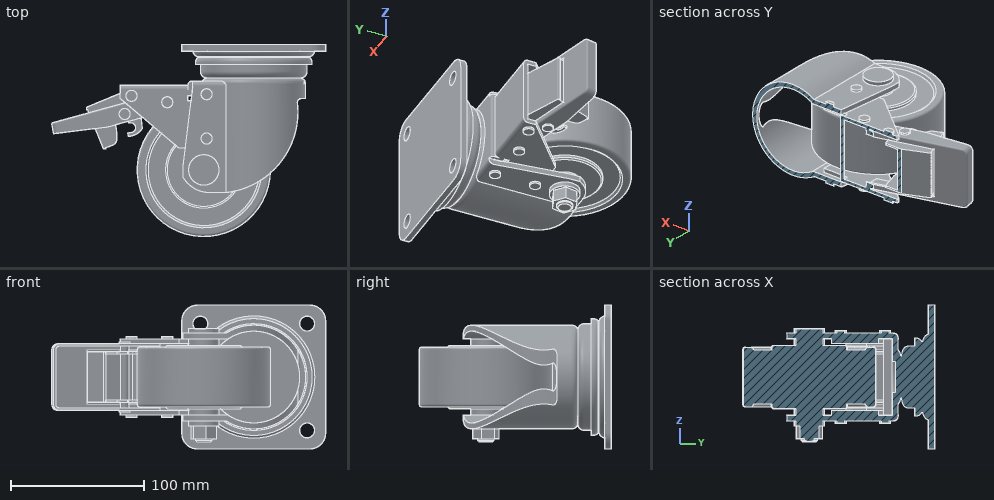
import cadquery as cq
import math


CUT_MARGIN = 2.0

PLATE_SIZE = 108.0
PLATE_THICKNESS = 5.1
PLATE_CORNER_RADIUS = 12.0
BOLT_SPACING = 80.0
BOLT_HOLE_DIAMETER = 11.0

RACE_RADIUS = 45.8
RACE_GROOVE_RADIUS = 42.2
RACE_GROOVE_Y = -9.2
RACE_GROOVE_WIDTH = 0.6
RACE_BULGE = 0.95
SEAL_BULGE = 0.4
SEAL_RADIUS = 43.8
SEAL_STEP_Y = -13.3
SEAL_BOTTOM_Y = -15.2
CUP_RADIUS = 40.0
CUP_CURVE_Y = -20.0
CUP_BULGE = (0.9, 0.7)
NECK_RADIUS = 36.6
NECK_Y = -25.0

SHEET = 4.5
FORK_RADIUS = 38.9
LEG_OUTER_Z = 33.0
LEG_INNER_Z = LEG_OUTER_Z - SHEET
LEG_TOP_Y = -27.4
LEG_TOP_X = -45.7
LEG_BOTTOM_X = -53.0
LEG_BOTTOM_Y = -91.0
LEG_TOP_ROUND = 3.8
FORK_BOTTOM_Y = -111.0
LEG_HEEL_RADIUS = 23.0
HEEL_X = -33.0
SWEEP_START_X = -20.8
SWEEP_MIDDLE = (14.5, -94.5)
FORK_BOX_REACH = 70.0
FORK_BACK_X = 32.8
FORK_STEP_Y = -40.6
FORK_STEP_ROUND = 3.0
FORK_LIP_X = -49.3
FORK_LIP_BOTTOM_Y = -38.6
FORK_LIP_ROUND = 3.0

AXLE_X = -37.4
AXLE_Y = -94.0
WHEEL_RADIUS = 50.0
TREAD_HALF_WIDTH = 22.5
TREAD_ROUND = 2.0
RIM_OUTER_RADIUS = 43.4
RIM_INNER_RADIUS = 41.7
WEB_HALF_WIDTH = 20.4
HUB_RADIUS = 28.6
HUB_HALF_WIDTH = 23.8
HUB_CHAMFER = 1.2
AXLE_RADIUS = 11.4
AXLE_HEAD_Z = 36.3
WASHER_Z = -36.7
NUT_CORNER_RADIUS = 10.1
NUT_TURN = 40.0
NUT_END_Z = -46.4
STUD_RADIUS = 6.2
STUD_END_Z = -48.6
STUD_CHAMFER = 1.2

BRACKET_SHEET = 3.5
BRACKET_OUTER_Z = LEG_INNER_Z
BRACKET_INNER_Z = BRACKET_OUTER_Z - BRACKET_SHEET
BRACKET_TOP_Y = -30.4
BRACKET_FRONT_X = -100.1
BRACKET_FRONT_BOTTOM_Y = -40.5
BRACKET_BACK_X = -27.0
BRACKET_NOTCH_Y = -42.1
BRACKET_FOOT_X = -56.1
BRACKET_FOOT_Y = -77.6
BRACKET_BEND_RADIUS = 3.5

RIVET_RADIUS = 4.15
RIVET_HEIGHT = 1.7
LEG_RIVETS = [(-35.3, -37.3), (-35.3, -70.5)]
BRACKET_RIVETS = [(-91.6, -38.5), (-64.8, -43.3)]

PEDAL_SHEET = 1.9
PEDAL_HALF_WIDTH = BRACKET_INNER_Z
PEDAL_TIP = (-151.6, -58.8)
PEDAL_TIP_BOTTOM = (-150.1, -67.0)
PEDAL_KNEE = (-109.6, -61.9)
PEDAL_END_X = -70.2
PEDAL_END_TOP_Y = -36.5
PEDAL_END_BOTTOM_Y = -51.2
PEDAL_CORNER_RADIUS = 4.5
PEDAL_EDGE_ROUND = 1.5
PEDAL_WINDOW_X = -124.9
PEDAL_WINDOW_HALF_WIDTH = 20.2
PEDAL_PIN = (-96.7, -52.1)
PEDAL_PIN_RADIUS = 3.2
PEDAL_PIN_HEAD_HEIGHT = 1.3

LEVER_SHEET = 1.8
LEVER_HALF_WIDTH = 19.0
LEVER_TOP = (-125.4, -47.0)
LEVER_BOTTOM = (-112.7, -78.3)
LEVER_BACK = (-90.7, -32.7)
LEVER_TOP_ROUND = 1.5
LEVER_TOE_START = (-106.5, -75.8)
LEVER_TOE_MIDDLE = (-103.6, -74.0)
LEVER_TOE_END = (-102.5, -71.0)
LEVER_NAPE_MIDDLE = (-102.6, -65.5)
LEVER_NAPE_X = -103.4
LEVER_NAPE_Y = -60.4
LEVER_BRIDGE_Y = -57.0

HOOK_MOUTH_X = -94.0
HOOK_MOUTH_TOP_Y = -58.8
HOOK_THROAT_X = -91.0
HOOK_THROAT_TOP_Y = -58.9
HOOK_THROAT_MIDDLE = (-88.6, -62.3)
HOOK_THROAT_BOTTOM_Y = -65.7
HOOK_TIP_INNER = (-94.5, -66.3)
HOOK_TIP_OUTER = (-94.0, -69.0)
HOOK_BACK_MIDDLE = (-88.2, -67.4)
HOOK_BACK_END = (-83.4, -63.0)
HOOK_SHOULDER = (-84.3, -54.5)


def slab(profile, z_from, z_to):
    """Extrude a closed XY profile between two Z levels."""
    return profile.extrude(z_to - z_from).translate((0, 0, z_from))


def disc(x, y, radius, z_from, z_to):
    return slab(cq.Workplane("XY").center(x, y).circle(radius), z_from, z_to)


def mirrored(solid):
    """The solid together with its mirror image below Z = 0."""
    return solid.union(solid.mirror("XY"))


def make_plate():
    plate = cq.Workplane("XZ").rect(PLATE_SIZE, PLATE_SIZE).extrude(PLATE_THICKNESS)
    plate = plate.edges("|Y").fillet(PLATE_CORNER_RADIUS)
    holes = (
        cq.Workplane("XZ")
        .rect(BOLT_SPACING, BOLT_SPACING, forConstruction=True)
        .vertices().circle(BOLT_HOLE_DIAMETER / 2).extrude(PLATE_THICKNESS)
    )
    return plate.cut(holes)


def make_swivel():
    seal_top_y = RACE_GROOVE_Y - RACE_GROOVE_WIDTH
    race_mid = (
        (RACE_RADIUS + RACE_GROOVE_RADIUS) / 2 + RACE_BULGE,
        (RACE_GROOVE_Y - PLATE_THICKNESS) / 2,
    )
    seal_mid = (SEAL_RADIUS - SEAL_BULGE, (seal_top_y + SEAL_STEP_Y) / 2)
    cup_mid = (CUP_RADIUS - CUP_BULGE[0], (CUP_CURVE_Y + NECK_Y) / 2 - CUP_BULGE[1])
    return (
        cq.Workplane("XY")
        .moveTo(0, -PLATE_THICKNESS)
        .lineTo(RACE_RADIUS, -PLATE_THICKNESS)
        .threePointArc(race_mid, (RACE_GROOVE_RADIUS, RACE_GROOVE_Y))
        .lineTo(RACE_GROOVE_RADIUS, seal_top_y)
        .threePointArc(seal_mid, (SEAL_RADIUS, SEAL_STEP_Y))
        .lineTo(SEAL_RADIUS, SEAL_BOTTOM_Y)
        .lineTo(CUP_RADIUS, SEAL_BOTTOM_Y)
        .lineTo(CUP_RADIUS, CUP_CURVE_Y)
        .threePointArc(cup_mid, (NECK_RADIUS, NECK_Y))
        .lineTo(0, NECK_Y)
        .close()
        .revolve(360, (0, 0, 0), (0, 1, 0))
    )


def fork_side_outline():
    """Side outline of the fork, cut straight through along Z."""
    heel_y = FORK_BOTTOM_Y + LEG_HEEL_RADIUS
    leg_end_y = heel_y - math.sqrt(LEG_HEEL_RADIUS**2 - (HEEL_X - LEG_BOTTOM_X) ** 2)
    heel_mid = LEG_HEEL_RADIUS * math.sqrt(0.5)
    outline = (
        cq.Workplane("XY")
        .moveTo(LEG_TOP_X, 0)
        .lineTo(LEG_TOP_X, LEG_TOP_Y - LEG_TOP_ROUND)
        .lineTo(LEG_BOTTOM_X, LEG_BOTTOM_Y)
        .lineTo(LEG_BOTTOM_X, leg_end_y)
        .threePointArc((HEEL_X - heel_mid, heel_y - heel_mid), (HEEL_X, FORK_BOTTOM_Y))
        .lineTo(SWEEP_START_X, FORK_BOTTOM_Y)
        .threePointArc(SWEEP_MIDDLE, (FORK_BACK_X, FORK_STEP_Y - FORK_STEP_ROUND))
        .radiusArc((FORK_BACK_X + FORK_STEP_ROUND, FORK_STEP_Y), FORK_STEP_ROUND)
        .lineTo(FORK_RADIUS + CUT_MARGIN, FORK_STEP_Y)
        .lineTo(FORK_RADIUS + CUT_MARGIN, 0)
        .close()
    )
    return slab(outline, -FORK_RADIUS, FORK_RADIUS)


def fork_plan(radius, half_width, top_y, leg_top_y):
    """A cylinder about Y, and a straight box that reaches from it toward -X."""
    bottom_y = FORK_BOTTOM_Y - CUT_MARGIN
    barrel = (
        cq.Workplane("XZ", origin=(0, top_y, 0)).circle(radius).extrude(top_y - bottom_y)
    )
    box = (
        cq.Workplane("XZ", origin=(-FORK_BOX_REACH / 2, leg_top_y, 0))
        .rect(FORK_BOX_REACH, 2 * half_width).extrude(leg_top_y - bottom_y)
    )
    return barrel, box


def make_fork():
    barrel, legs = fork_plan(FORK_RADIUS, LEG_OUTER_Z, NECK_Y, LEG_TOP_Y)
    barrel = barrel.faces(">Y").edges().fillet(SHEET)
    legs = legs.faces(">Y").edges("|X").fillet(LEG_TOP_ROUND)
    bore, gap = fork_plan(FORK_RADIUS - SHEET, LEG_INNER_Z, NECK_Y - SHEET, LEG_TOP_Y - SHEET)
    fork = barrel.union(legs).cut(bore).cut(gap).intersect(fork_side_outline())
    lip = (
        cq.Workplane("XY")
        .moveTo(LEG_TOP_X, LEG_TOP_Y)
        .lineTo(FORK_LIP_X + FORK_LIP_ROUND, LEG_TOP_Y)
        .radiusArc((FORK_LIP_X, LEG_TOP_Y - FORK_LIP_ROUND), -FORK_LIP_ROUND)
        .lineTo(FORK_LIP_X, FORK_LIP_BOTTOM_Y)
        .lineTo(LEG_TOP_X, FORK_LIP_BOTTOM_Y)
        .close()
    )
    return fork.union(slab(lip, -LEG_INNER_Z, LEG_INNER_Z))


def make_wheel():
    half = (
        cq.Workplane("XY")
        .moveTo(0, 0)
        .lineTo(WHEEL_RADIUS, 0)
        .lineTo(WHEEL_RADIUS, TREAD_HALF_WIDTH - TREAD_ROUND)
        .radiusArc((WHEEL_RADIUS - TREAD_ROUND, TREAD_HALF_WIDTH), -TREAD_ROUND)
        .lineTo(RIM_OUTER_RADIUS, TREAD_HALF_WIDTH)
        .lineTo(RIM_INNER_RADIUS, WEB_HALF_WIDTH)
        .lineTo(HUB_RADIUS, WEB_HALF_WIDTH)
        .lineTo(HUB_RADIUS, HUB_HALF_WIDTH - HUB_CHAMFER)
        .lineTo(HUB_RADIUS - HUB_CHAMFER, HUB_HALF_WIDTH)
        .lineTo(0, HUB_HALF_WIDTH)
        .close()
        .revolve(360, (0, 0, 0), (0, 1, 0))
        .rotate((0, 0, 0), (1, 0, 0), 90)
    )
    return mirrored(half).translate((AXLE_X, AXLE_Y, 0))


def make_axle():
    axle = disc(AXLE_X, AXLE_Y, AXLE_RADIUS, WASHER_Z, AXLE_HEAD_Z)
    nut = (
        cq.Workplane("XY").polygon(6, 2 * NUT_CORNER_RADIUS)
        .extrude(NUT_END_Z - WASHER_Z)
        .rotate((0, 0, 0), (0, 0, 1), NUT_TURN)
        .translate((AXLE_X, AXLE_Y, WASHER_Z))
    )
    stud = disc(AXLE_X, AXLE_Y, STUD_RADIUS, STUD_END_Z, WASHER_Z)
    stud = stud.faces("<Z").chamfer(STUD_CHAMFER)
    return axle.union(nut).union(stud)


def make_bracket():
    outline = cq.Workplane("XY").polyline([
        (BRACKET_FRONT_X, BRACKET_TOP_Y),
        (FORK_LIP_X, BRACKET_TOP_Y),
        (FORK_LIP_X, BRACKET_NOTCH_Y),
        (BRACKET_BACK_X, BRACKET_NOTCH_Y),
        (BRACKET_BACK_X, BRACKET_FOOT_Y),
        (BRACKET_FOOT_X, BRACKET_FOOT_Y),
        (BRACKET_FRONT_X, BRACKET_FRONT_BOTTOM_Y),
    ]).close()
    bracket = slab(outline, -BRACKET_OUTER_Z, BRACKET_OUTER_Z)
    bracket = bracket.faces(">Y").edges("|X").fillet(BRACKET_BEND_RADIUS)
    length = BRACKET_BACK_X - BRACKET_FRONT_X
    height = BRACKET_TOP_Y - BRACKET_FOOT_Y
    inside = cq.Workplane("XY").box(
        length, height, 2 * BRACKET_INNER_Z, centered=(False, False, True)
    )
    return bracket.cut(inside.translate((BRACKET_FRONT_X, BRACKET_FOOT_Y - BRACKET_SHEET, 0)))


def make_rivets():
    groups = (
        (LEG_RIVETS, LEG_INNER_Z, LEG_OUTER_Z),
        (BRACKET_RIVETS, BRACKET_INNER_Z, BRACKET_OUTER_Z),
    )
    rivets = cq.Workplane("XY")
    for centers, inner_z, outer_z in groups:
        for x, y in centers:
            rivet = disc(x, y, RIVET_RADIUS, inner_z, outer_z + RIVET_HEIGHT)
            rivets = rivets.union(mirrored(rivet))
    return rivets


def make_pedal():
    outline = cq.Workplane("XY").polyline([
        PEDAL_TIP,
        (PEDAL_END_X, PEDAL_END_TOP_Y),
        (PEDAL_END_X, PEDAL_END_BOTTOM_Y),
        PEDAL_KNEE,
        PEDAL_TIP_BOTTOM,
    ]).close()
    shell = slab(outline, -PEDAL_HALF_WIDTH, PEDAL_HALF_WIDTH)
    tip_middle_x = (PEDAL_TIP[0] + PEDAL_TIP_BOTTOM[0]) / 2
    tip_middle_y = (PEDAL_TIP[1] + PEDAL_TIP_BOTTOM[1]) / 2
    for z in (-PEDAL_HALF_WIDTH, PEDAL_HALF_WIDTH):
        corner = cq.NearestToPointSelector((tip_middle_x, tip_middle_y, z))
        shell = shell.edges(corner).fillet(PEDAL_CORNER_RADIUS)
    slope = (PEDAL_END_TOP_Y - PEDAL_TIP[1]) / (PEDAL_END_X - PEDAL_TIP[0])
    top = cq.NearestToPointSelector((
        PEDAL_KNEE[0], PEDAL_TIP[1] + slope * (PEDAL_KNEE[0] - PEDAL_TIP[0]), 0
    ))
    shell = shell.faces(top).edges("not(>X)").fillet(PEDAL_EDGE_ROUND)

    inner_x = PEDAL_TIP[0] + PEDAL_SHEET
    far_x = PEDAL_END_X + CUT_MARGIN
    low_y = PEDAL_TIP_BOTTOM[1] - CUT_MARGIN
    drop = PEDAL_SHEET * math.sqrt(1 + slope**2)
    lean = (PEDAL_TIP_BOTTOM[0] - PEDAL_TIP[0]) / (PEDAL_TIP_BOTTOM[1] - PEDAL_TIP[1])
    cavity = cq.Workplane("XY").polyline([
        (inner_x, PEDAL_TIP[1] + slope * PEDAL_SHEET - drop),
        (far_x, PEDAL_TIP[1] + slope * (far_x - PEDAL_TIP[0]) - drop),
        (far_x, low_y),
        (inner_x + lean * (low_y - PEDAL_TIP[1]), low_y),
    ]).close()
    inner_z = PEDAL_HALF_WIDTH - PEDAL_SHEET
    cavity = slab(cavity, -inner_z, inner_z)
    cavity = cavity.faces("<X").edges("not(|Z)").fillet(PEDAL_CORNER_RADIUS - PEDAL_SHEET)
    window = cq.Workplane("XY").box(
        far_x - PEDAL_WINDOW_X, -low_y, 2 * PEDAL_WINDOW_HALF_WIDTH, centered=(False, False, True)
    )
    shell = shell.cut(cavity).cut(window.translate((PEDAL_WINDOW_X, low_y, 0)))

    head_z = PEDAL_HALF_WIDTH + PEDAL_PIN_HEAD_HEIGHT
    pin = disc(*PEDAL_PIN, PEDAL_PIN_RADIUS, -head_z, head_z)
    head = disc(*PEDAL_PIN, RIVET_RADIUS, PEDAL_HALF_WIDTH - PEDAL_SHEET, head_z)
    return shell.union(pin).union(mirrored(head))


def make_lever():
    """A bent channel: front plate, top plate and two side cheeks with hooks."""
    cheek = (
        cq.Workplane("XY")
        .moveTo(*LEVER_TOP)
        .lineTo(*LEVER_BOTTOM)
        .lineTo(*LEVER_TOE_START)
        .threePointArc(LEVER_TOE_MIDDLE, LEVER_TOE_END)
        .threePointArc(LEVER_NAPE_MIDDLE, (LEVER_NAPE_X, LEVER_NAPE_Y))
        .lineTo(LEVER_NAPE_X, LEVER_BRIDGE_Y)
        .lineTo(HOOK_MOUTH_X, LEVER_BRIDGE_Y)
        .lineTo(HOOK_MOUTH_X, HOOK_MOUTH_TOP_Y)
        .lineTo(HOOK_THROAT_X, HOOK_THROAT_TOP_Y)
        .threePointArc(HOOK_THROAT_MIDDLE, (HOOK_THROAT_X, HOOK_THROAT_BOTTOM_Y))
        .lineTo(*HOOK_TIP_INNER)
        .lineTo(*HOOK_TIP_OUTER)
        .threePointArc(HOOK_BACK_MIDDLE, HOOK_BACK_END)
        .lineTo(*HOOK_SHOULDER)
        .lineTo(*LEVER_BACK)
        .close()
    )
    lever = mirrored(slab(cheek, LEVER_HALF_WIDTH - LEVER_SHEET, LEVER_HALF_WIDTH))
    front_dx = LEVER_BOTTOM[0] - LEVER_TOP[0]
    front_dy = LEVER_BOTTOM[1] - LEVER_TOP[1]
    front_shift = LEVER_SHEET * math.hypot(front_dx, front_dy) / abs(front_dy)
    front = cq.Workplane("XY").polyline([
        LEVER_TOP,
        LEVER_BOTTOM,
        (LEVER_BOTTOM[0] + front_shift, LEVER_BOTTOM[1]),
        (LEVER_TOP[0] + front_shift, LEVER_TOP[1]),
    ]).close()
    web_dx = LEVER_BACK[0] - LEVER_TOP[0]
    web_dy = LEVER_BACK[1] - LEVER_TOP[1]
    web_drop = LEVER_SHEET * math.hypot(web_dx, web_dy) / web_dx
    web = cq.Workplane("XY").polyline([
        LEVER_TOP,
        LEVER_BACK,
        (LEVER_BACK[0], LEVER_BACK[1] - web_drop),
        (LEVER_TOP[0], LEVER_TOP[1] - web_drop),
    ]).close()
    for profile in (front, web):
        lever = lever.union(slab(profile, -LEVER_HALF_WIDTH, LEVER_HALF_WIDTH))
    bend = cq.NearestToPointSelector((*LEVER_TOP, 0))
    return lever.edges("|Z").edges(bend).fillet(LEVER_TOP_ROUND)


result = make_plate()
for piece in (
    make_swivel(), make_fork(), make_wheel(), make_axle(),
    make_bracket(), make_rivets(), make_pedal(), make_lever(),
):
    result = result.union(piece)